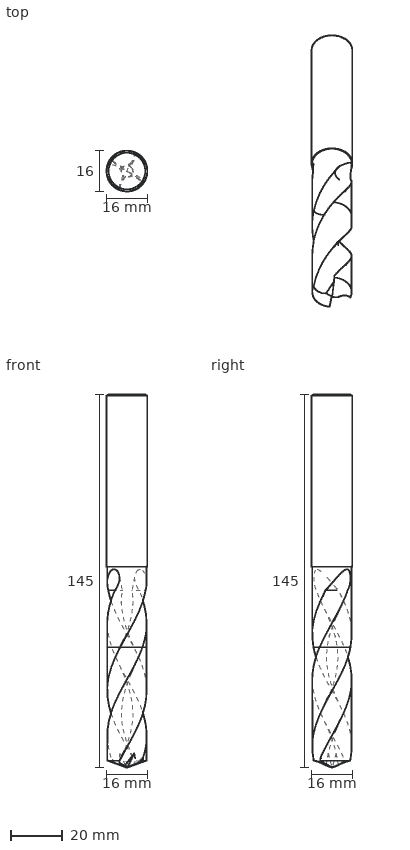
import cadquery as cq
import math

total_length = 145.0
shank_diameter = 16.0
cutting_diameter = 15.4
shank_start = 78.2
head_joint = 46.8
point_angle = 140.0
end_chamfer_width = 0.9
end_chamfer_height = 0.6

flute_count = 2
flute_pitch = 87.3
flute_start_angle = 92.7
flute_end = 68.9
flute_radius = 4.5
flute_offset = 6.7
runout_length = 11.6
runout_outward_slope = 0.44
runout_tangent_slope = 0.8

gash_angle = 82.0
gash_depth = 7.2
gash_length = 17.4
gash_offset = 0.1
gash_valley_direction = (1.8, -1.0, 3.7)
gash_opening_direction = (0.1, -1, -0.3)

shank_radius = shank_diameter / 2
cutting_radius = cutting_diameter / 2
point_height = cutting_radius / math.tan(math.radians(point_angle / 2))
flute_twist = 360 * flute_end / flute_pitch
flute_spacing = 360 / flute_count


def about_axis(shape, angle):
    """Turn a shape about the drill axis."""
    return shape.rotate(cq.Vector(0, 0, 0), cq.Vector(0, 0, 1), angle)


def make_helical_flute():
    """Round channel twisted up the drill, starting on the +X side."""
    section = cq.Workplane("XY").moveTo(flute_offset, 0).circle(flute_radius)
    return section.twistExtrude(flute_end, flute_twist).val()


def make_flute_runout():
    """Straight continuation of the channel that rises out of the drill."""
    section = cq.Wire.makeCircle(flute_radius, cq.Vector(flute_offset, 0, flute_end), cq.Vector(0, 0, 1))
    climb = cq.Vector(runout_outward_slope, runout_tangent_slope, 1) * runout_length
    return about_axis(cq.Solid.extrudeLinear(section, [], climb), flute_twist)


def make_gash():
    """Triangular prism whose sharp edge is the valley of the gash."""
    valley = cq.Plane(
        origin=(gash_offset, 0, 0), xDir=gash_opening_direction, normal=gash_valley_direction
    )
    half_width = gash_depth * math.tan(math.radians(gash_angle / 2))
    outline = [(0, 0), (gash_depth, -half_width), (gash_depth, half_width)]
    section = cq.Workplane(valley).polyline(outline).close()
    return section.extrude(gash_length / 2, both=True).val()


def cut_around(body, tool, start_angle=0.0):
    """Cut one copy of the tool for each flute."""
    for index in range(flute_count):
        body = body.cut(about_axis(tool, start_angle + index * flute_spacing))
    return body


def make_holder():
    """Chamfered shank with the upper part of the fluted length below it."""
    profile = [
        (0, head_joint),
        (cutting_radius, head_joint),
        (cutting_radius, shank_start),
        (shank_radius, shank_start),
        (shank_radius, total_length - end_chamfer_height),
        (shank_radius - end_chamfer_width, total_length),
        (0, total_length),
    ]
    holder = cq.Workplane("XZ").polyline(profile).close().revolve(360, (0, 0), (0, 1))
    holder = cut_around(holder, make_helical_flute(), flute_start_angle)
    return cut_around(holder, make_flute_runout(), flute_start_angle)


def make_cutting_head():
    """Lower part of the fluted length with the conical point."""
    profile = [(0, 0), (cutting_radius, point_height), (cutting_radius, head_joint), (0, head_joint)]
    head = cq.Workplane("XZ").polyline(profile).close().revolve(360, (0, 0), (0, 1))
    head = cut_around(head, make_helical_flute(), flute_start_angle)
    return cut_around(head, make_gash())


holder = make_holder()
cutting_head = make_cutting_head()
result = cq.Compound.makeCompound([holder.val(), cutting_head.val()])